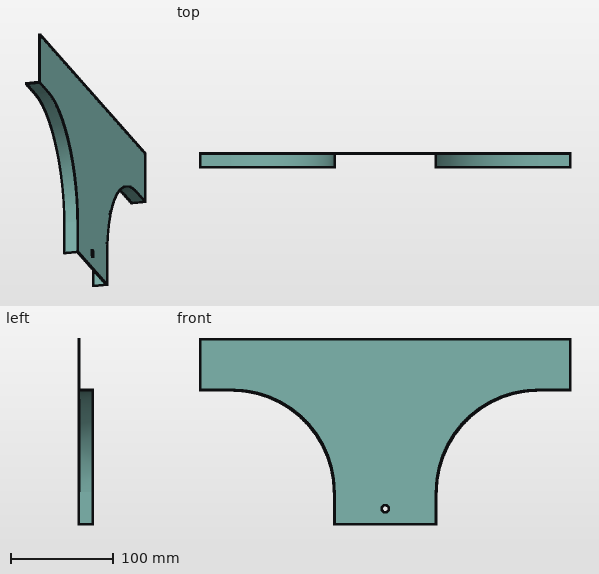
import cadquery as cq

length = 360.0
height = 180.0
depth = 14.0
sheet = 1.0

stem_width = 100.0
arm_height = 50.0
bend_radius = 99.0

hole_diameter = 7.0
hole_height = 15.0

half_length = length / 2
half_stem = stem_width / 2
arm_bottom = height - arm_height
bend_center_x = half_stem + bend_radius
bend_center_z = arm_bottom - bend_radius
front_y = -depth / 2
back_y = depth / 2


def corner_block(inset):
    """Full-depth solid of the empty corner right of the stem, grown by inset into the tee."""
    radius = bend_radius + inset
    diagonal = radius * 0.5 ** 0.5
    return (
        cq.Workplane("XZ", origin=(0, back_y, 0))
        .moveTo(half_stem - inset, 0)
        .lineTo(half_stem - inset, bend_center_z)
        .threePointArc(
            (bend_center_x - diagonal, bend_center_z + diagonal),
            (bend_center_x, arm_bottom + inset),
        )
        .lineTo(half_length, arm_bottom + inset)
        .lineTo(half_length, 0)
        .close()
        .extrude(depth)
    )


right_corner = corner_block(0)
plate = (
    cq.Workplane("XY")
    .box(length, sheet, height, centered=(True, False, False))
    .translate((0, back_y - sheet, 0))
    .cut(right_corner)
    .cut(right_corner.mirror("YZ"))
)

right_flange = corner_block(sheet).cut(right_corner)
body = plate.union(right_flange).union(right_flange.mirror("YZ"))

hole = (
    cq.Workplane("XZ", origin=(0, back_y, hole_height))
    .circle(hole_diameter / 2)
    .extrude(back_y - front_y)
)
result = body.cut(hole)